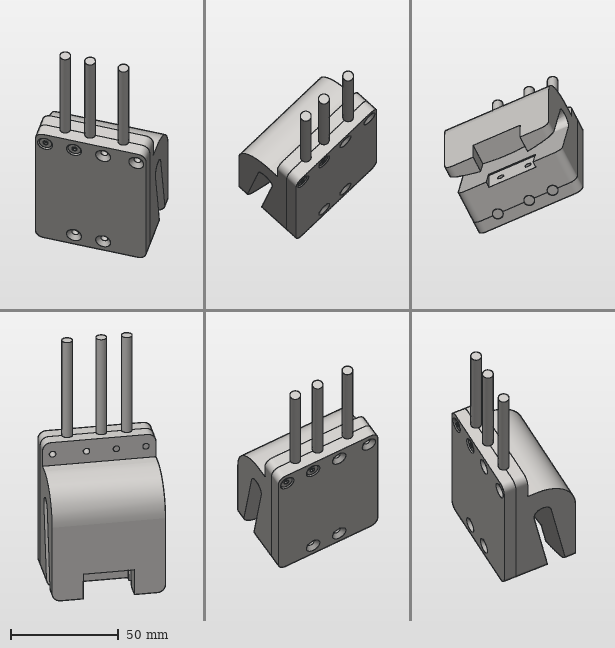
import cadquery as cq
import math


WIDTH = 53.4
BLOCK_HEIGHT = 70.0
TOTAL_DEPTH = 37.1
COVER_THICKNESS = 6.1
HOUSING_PLATE_THICKNESS = 6.1
CORNER_RADIUS = 4.0

CLIP_HEIGHT = 58.0
CLIP_SHOULDER_RADIUS = 19.5
CLIP_BACK = TOTAL_DEPTH - COVER_THICKNESS

SLOT_WIDTH = 9.0
SLOT_TILT = 10.5
SLOT_END_Y = 13.9
SLOT_END_Z = 40.7
SLOT_LENGTH = 54.0
TONGUE_BULGE = 3.8

NOTCH_WIDTH = 24.0
NOTCH_HEIGHT = 13.0

CABLE_DIAMETER = 5.0
CABLE_LENGTH = 120.0
CABLE_BOTTOM_PROTRUSION = 0.4
CABLE_X = (-14.0, -2.0, 14.0)

HOLE_DIAMETER = 3.2
THREAD_DIAMETER = 3.0
COUNTERSINK_DIAMETER = 7.2
COUNTERSINK_ANGLE = 90.0
UPPER_HOLE_Z = 63.8
LOWER_HOLE_Z = 6.0
OUTER_HOLE_X = 22.0
INNER_LEFT_HOLE_X = -8.0
INNER_RIGHT_HOLE_X = 6.0
SCREW_POINTS = [(-OUTER_HOLE_X, UPPER_HOLE_Z), (INNER_LEFT_HOLE_X, UPPER_HOLE_Z)]
OPEN_HOLE_POINTS = [
    (INNER_RIGHT_HOLE_X, UPPER_HOLE_Z),
    (OUTER_HOLE_X, UPPER_HOLE_Z),
    (INNER_LEFT_HOLE_X, LOWER_HOLE_Z),
    (INNER_RIGHT_HOLE_X, LOWER_HOLE_Z),
]
HOLE_POINTS = SCREW_POINTS + OPEN_HOLE_POINTS
SCREW_HEAD_DIAMETER = 6.0
SOCKET_RIM_DIAMETER = 2.4
SOCKET_RIM_DEPTH = 0.2
SOCKET_HEX_CORNERS = 2.2
SOCKET_DEPTH = 1.2


def rounded_block(front_y, back_y):
    """Full-height block with its four long Y edges rounded."""
    return (
        cq.Workplane("XY")
        .box(WIDTH, back_y - front_y, BLOCK_HEIGHT, centered=(True, False, False))
        .translate((0, front_y, 0))
        .edges("|Y")
        .fillet(CORNER_RADIUS)
    )


def rods_along_y(points, diameter, front_y, back_y):
    """Cylinders along Y, centred on the given (x, z) points."""
    return (
        cq.Workplane("XZ", origin=(0, front_y, 0))
        .pushPoints(points)
        .circle(diameter / 2)
        .extrude(front_y - back_y)
    )


def cable(x):
    """Straight round cable, centred on the joint plane."""
    return (
        cq.Workplane("XY", origin=(x, 0, -CABLE_BOTTOM_PROTRUSION))
        .circle(CABLE_DIAMETER / 2)
        .extrude(CABLE_LENGTH)
    )


def clip_profile():
    """Side outline of the housing plate and clip, extruded across the width."""
    shoulder_y = CLIP_BACK - CLIP_SHOULDER_RADIUS
    shoulder_z = CLIP_HEIGHT - CLIP_SHOULDER_RADIUS
    diagonal = CLIP_SHOULDER_RADIUS * math.sqrt(0.5)
    return (
        cq.Workplane("YZ", origin=(-WIDTH / 2, 0, 0))
        .lineTo(CLIP_BACK, 0)
        .lineTo(CLIP_BACK, shoulder_z)
        .threePointArc((shoulder_y + diagonal, shoulder_z + diagonal), (shoulder_y, CLIP_HEIGHT))
        .lineTo(HOUSING_PLATE_THICKNESS, CLIP_HEIGHT)
        .lineTo(HOUSING_PLATE_THICKNESS, BLOCK_HEIGHT)
        .lineTo(0, BLOCK_HEIGHT)
        .close()
        .extrude(WIDTH)
    )


def slot_cutter():
    """Slanted round-ended slot whose tongue wall and end follow an arc across the width."""
    half_width = SLOT_WIDTH / 2
    slot = (
        cq.Workplane("YZ", origin=(-WIDTH / 2, 0, 0))
        .moveTo(-half_width, -SLOT_LENGTH)
        .lineTo(-half_width, 0)
        .threePointArc((0, half_width), (half_width, 0))
        .lineTo(half_width, -SLOT_LENGTH)
        .close()
        .extrude(WIDTH)
    )
    bulge_radius = ((WIDTH / 2) ** 2 + TONGUE_BULGE**2) / (2 * TONGUE_BULGE)
    outer_radius = bulge_radius + 2 * SLOT_WIDTH
    space_around_bulge = (
        cq.Workplane("XZ")
        .moveTo(bulge_radius, -SLOT_LENGTH)
        .lineTo(bulge_radius, 0)
        .radiusArc((bulge_radius + half_width, half_width), half_width)
        .lineTo(outer_radius, half_width)
        .lineTo(outer_radius, -SLOT_LENGTH)
        .close()
        .revolve(360, (0, 0), (0, 1))
        .translate((0, half_width - TONGUE_BULGE + bulge_radius, 0))
    )
    return (
        slot.intersect(space_around_bulge)
        .rotate((0, 0, 0), (1, 0, 0), SLOT_TILT)
        .translate((0, SLOT_END_Y, SLOT_END_Z))
    )


def tongue_notch():
    """Rectangular notch through the tongue, giving access to the lower holes."""
    return (
        cq.Workplane("XY")
        .box(NOTCH_WIDTH, CLIP_BACK - SLOT_END_Y, NOTCH_HEIGHT, centered=(True, False, False))
        .translate((0, SLOT_END_Y, 0))
    )


def housing_body(cables):
    outline = clip_profile().intersect(rounded_block(0, CLIP_BACK))
    holes = rods_along_y(HOLE_POINTS, THREAD_DIAMETER, 0, CLIP_BACK)
    housing = outline.cut(slot_cutter()).cut(tongue_notch()).cut(holes)
    for each_cable in cables:
        housing = housing.cut(each_cable)
    return housing


def cover_body(cables):
    cover = (
        rounded_block(-COVER_THICKNESS, 0)
        .faces("<Y")
        .workplane(origin=(0, -COVER_THICKNESS, 0))
        .pushPoints(HOLE_POINTS)
        .cskHole(HOLE_DIAMETER, COUNTERSINK_DIAMETER, COUNTERSINK_ANGLE)
    )
    for each_cable in cables:
        cover = cover.cut(each_cable)
    return cover


def screw(x, z):
    """Countersunk hex-socket screw seated on the cone of its hole, ending flush with the plate back."""
    head_radius = SCREW_HEAD_DIAMETER / 2
    shank_radius = THREAD_DIAMETER / 2
    cone_slope = math.tan(math.radians(COUNTERSINK_ANGLE / 2))
    head_y = -COVER_THICKNESS + (COUNTERSINK_DIAMETER / 2 - head_radius) / cone_slope
    head_height = (head_radius - shank_radius) / cone_slope
    body = (
        cq.Workplane("XY")
        .moveTo(0, head_y)
        .lineTo(head_radius, head_y)
        .lineTo(shank_radius, head_y + head_height)
        .lineTo(shank_radius, HOUSING_PLATE_THICKNESS)
        .lineTo(0, HOUSING_PLATE_THICKNESS)
        .close()
        .revolve(360, (0, 0), (0, 1))
    )
    socket_rim = rods_along_y([(0, 0)], SOCKET_RIM_DIAMETER, head_y, head_y + SOCKET_RIM_DEPTH)
    hex_socket = (
        cq.Workplane("XZ", origin=(0, head_y, 0))
        .polygon(6, SOCKET_HEX_CORNERS)
        .extrude(-SOCKET_DEPTH)
    )
    return body.cut(socket_rim).cut(hex_socket).translate((x, 0, z))


cables = [cable(x) for x in CABLE_X]
housing = housing_body(cables)
cover = cover_body(cables)
screws = [screw(x, z) for x, z in SCREW_POINTS]

result = cq.Compound.makeCompound(
    [housing.val(), cover.val()]
    + [each_cable.val() for each_cable in cables]
    + [each_screw.val() for each_screw in screws]
)